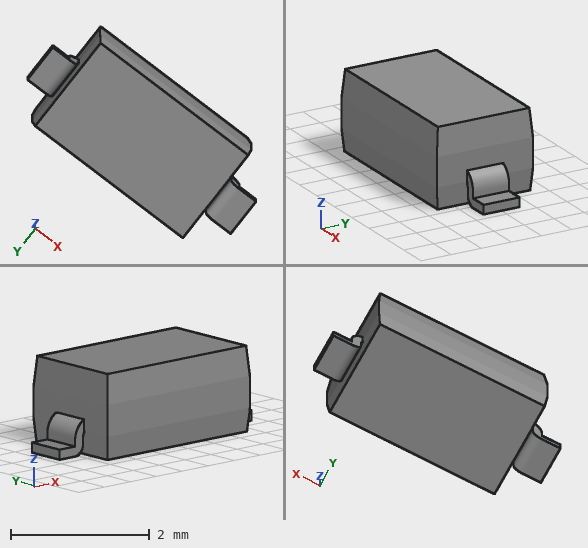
import cadquery as cq
import math

overall_length = 3.7
body_length = 2.75
body_width = 1.6
body_height = 1.27

band_bottom = 0.35
band_top = 0.82
wall_draft = 5.0

lead_width = 0.6
lead_thickness = 0.15
foot_length = 0.3
shoulder_start = 0.25
shoulder_radius = 0.3

heel_mid_angle = -45
shoulder_mid_angle = 135


def make_body():
    """Rectangular band, tapered inward towards both the top and the bottom."""
    band = cq.Workplane("XY").workplane(offset=band_bottom).rect(body_length, body_width)
    band = band.extrude(band_top - band_bottom)
    upper = cq.Workplane("XY").workplane(offset=band_top).rect(body_length, body_width)
    upper = upper.extrude(body_height - band_top, taper=wall_draft)
    lower = cq.Workplane("XY").workplane(offset=band_bottom).rect(body_length, body_width)
    lower = lower.extrude(-band_bottom, taper=wall_draft)
    return band.union(upper).union(lower)


def arc_point(center, radius, degrees):
    """Point in XZ at an angle measured from +X towards +Z."""
    angle = math.radians(degrees)
    return (center[0] + radius * math.cos(angle), center[1] + radius * math.sin(angle))


def make_left_lead():
    """Flat foot, upright leg and rounded shoulder that ends level inside the body."""
    toe_x = -overall_length / 2

    heel = (toe_x + foot_length, lead_thickness)
    leg_inner_x = heel[0] + lead_thickness

    shoulder_center = (heel[0] + shoulder_radius, shoulder_start)
    inner_radius = shoulder_radius - lead_thickness
    shoulder_end_x = shoulder_center[0]

    profile = (
        cq.Workplane("XZ")
        .moveTo(toe_x, 0)
        .lineTo(heel[0], 0)
        .threePointArc(
            arc_point(heel, lead_thickness, heel_mid_angle),
            (leg_inner_x, lead_thickness),
        )
        .lineTo(leg_inner_x, shoulder_start)
        .threePointArc(
            arc_point(shoulder_center, inner_radius, shoulder_mid_angle),
            (shoulder_end_x, shoulder_start + inner_radius),
        )
        .lineTo(shoulder_end_x, shoulder_start + shoulder_radius)
        .threePointArc(
            arc_point(shoulder_center, shoulder_radius, shoulder_mid_angle),
            (heel[0], shoulder_start),
        )
        .lineTo(*heel)
        .lineTo(toe_x, lead_thickness)
        .close()
    )
    return profile.extrude(lead_width / 2, both=True)


left_lead = make_left_lead()
right_lead = left_lead.mirror("YZ")
result = make_body().union(left_lead).union(right_lead)